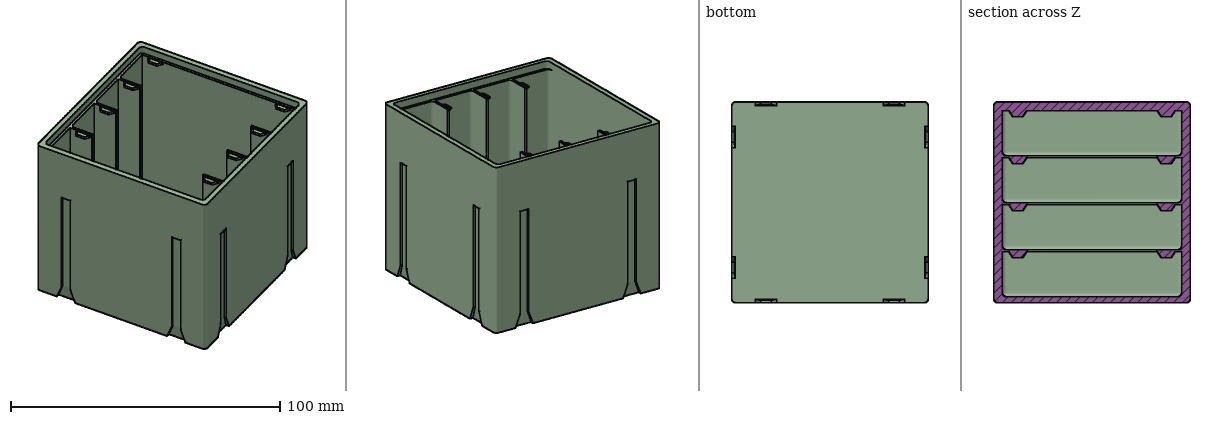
import cadquery as cq
WIDTH = 73.1
LENGTH = 74.65
HEIGHT = 67.2
OUTER_CORNER_RADIUS = 1.5

RIM_DEPTH = 3.0
RIM_WALL_SIDE = 2.1
RIM_WALL_END = 2.3
RIM_CORNER_RADIUS = 1.5

COMPARTMENTS = 4
SIDE_WALL = 3.2
DIVIDER = 0.9
COMPARTMENT_LENGTH = 16.6
FLOOR = 1.5
COMPARTMENT_FILLET = 1.5

STUB_WIDTH = 9.3
SILL_HEIGHT = 3.7

NUB_INSET = 5.75
NUB_DROP = 0.4
NUB_HEIGHT = 0.5
NUB_BASE_WIDTH = 6.7
NUB_TIP_WIDTH = 3.7
NUB_REACH = 2.2
NUB_TOP_BASE_WIDTH = 5.15
NUB_TOP_TIP_WIDTH = 3.1
NUB_TOP_REACH = 1.7

GROOVE_WIDTH = 3.9
GROOVE_TOP = 46.9
GROOVE_DEPTH = 0.9
FLARE_WIDTH = 8.0
FLARE_HEIGHT = 5.2
FLARE_DEPTH = 1.35
GROOVE_INSET_FRONT = 12.7
GROOVE_INSET_SIDE = 13.05

ledge_z = HEIGHT - RIM_DEPTH
inner_width = WIDTH - 2 * SIDE_WALL
pitch = COMPARTMENT_LENGTH + DIVIDER
front_y = -LENGTH / 2 + RIM_WALL_END
compartment_fronts = [front_y + i * pitch for i in range(COMPARTMENTS)]
overlap = 0.75


def block(x_size, y_size, z_size, y_front, z_bottom):
    """Box centred on X, given its front face and its bottom."""
    return cq.Workplane("XY").box(x_size, y_size, z_size, centered=(True, False, False)).translate(
        (0, y_front, z_bottom)
    )


def rim_pocket():
    y_size = LENGTH - 2 * RIM_WALL_END
    pocket = block(WIDTH - 2 * RIM_WALL_SIDE, y_size, RIM_DEPTH + overlap, front_y, ledge_z)
    return pocket.edges("|Z").fillet(RIM_CORNER_RADIUS)


def compartment(y_front):
    """Cell rounded along the floor and the front corners, but sharp along its back face."""
    cell = block(inner_width, COMPARTMENT_LENGTH, HEIGHT - FLOOR, y_front, FLOOR)
    rounded = cell.faces("<Y").edges("not >Z").add(cell.faces("<Z").edges("|Y"))
    return rounded.fillet(COMPARTMENT_FILLET)


def divider_opening():
    y_size = (COMPARTMENTS - 1) * pitch
    sill_z = FLOOR + SILL_HEIGHT
    return block(inner_width - 2 * STUB_WIDTH, y_size, HEIGHT - sill_z, front_y + pitch / 2, sill_z)


def trapezoid(workplane, x, y_back, base_width, tip_width, reach):
    """Nub outline with its wide side on the back face and its narrow side toward -Y."""
    return workplane.polyline([
        (x - base_width / 2, y_back),
        (x - tip_width / 2, y_back - reach),
        (x + tip_width / 2, y_back - reach),
        (x + base_width / 2, y_back),
    ]).close()


def nub(x, y_back):
    """Bump on a back face, with a flat bottom and chamfered sides."""
    bottom_plane = cq.Workplane("XY").workplane(offset=ledge_z - NUB_DROP - NUB_HEIGHT)
    bottom = trapezoid(bottom_plane, x, y_back, NUB_BASE_WIDTH, NUB_TIP_WIDTH, NUB_REACH)
    top_plane = bottom.workplane(offset=NUB_HEIGHT)
    top = trapezoid(top_plane, x, y_back, NUB_TOP_BASE_WIDTH, NUB_TOP_TIP_WIDTH, NUB_TOP_REACH)
    return top.loft(ruled=True)


def groove():
    """Cutter for a groove in a wall whose outer face is the XZ plane, with the wall behind it at +Y."""
    strip = block(GROOVE_WIDTH, GROOVE_DEPTH + overlap, GROOVE_TOP, -overlap, 0)
    flare = (
        cq.Workplane("XZ", origin=(0, -overlap, 0))
        .polyline([
            (-FLARE_WIDTH / 2, 0),
            (FLARE_WIDTH / 2, 0),
            (GROOVE_WIDTH / 2, FLARE_HEIGHT),
            (-GROOVE_WIDTH / 2, FLARE_HEIGHT),
        ])
        .close()
        .extrude(-FLARE_DEPTH - overlap)
    )
    wedge = (
        cq.Workplane("YZ", origin=(-FLARE_WIDTH / 2, 0, 0))
        .polyline([
            (-overlap, 0),
            (FLARE_DEPTH, 0),
            (GROOVE_DEPTH, FLARE_HEIGHT),
            (-overlap, FLARE_HEIGHT),
        ])
        .close()
        .extrude(FLARE_WIDTH)
    )
    return strip.union(flare.intersect(wedge))


def cut_wall_grooves(body, span, across, inset, first_angle):
    """Cut two grooves in each of two opposite walls that are `span` wide and `across` apart."""
    for angle in (first_angle, first_angle + 180):
        for x in (inset - span / 2, span / 2 - inset):
            cutter = groove().translate((x, -across / 2, 0))
            body = body.cut(cutter.rotate((0, 0, 0), (0, 0, 1), angle))
    return body


result = block(WIDTH, LENGTH, HEIGHT, -LENGTH / 2, 0).edges("|Z").fillet(OUTER_CORNER_RADIUS)
result = result.cut(rim_pocket())
for y in compartment_fronts:
    result = result.cut(compartment(y))
result = result.cut(divider_opening())
nub_x = inner_width / 2 - NUB_INSET
for y in compartment_fronts:
    for x in (-nub_x, nub_x):
        result = result.union(nub(x, y + COMPARTMENT_LENGTH))
result = cut_wall_grooves(result, WIDTH, LENGTH, GROOVE_INSET_FRONT, 0)
result = cut_wall_grooves(result, LENGTH, WIDTH, GROOVE_INSET_SIDE, 90)